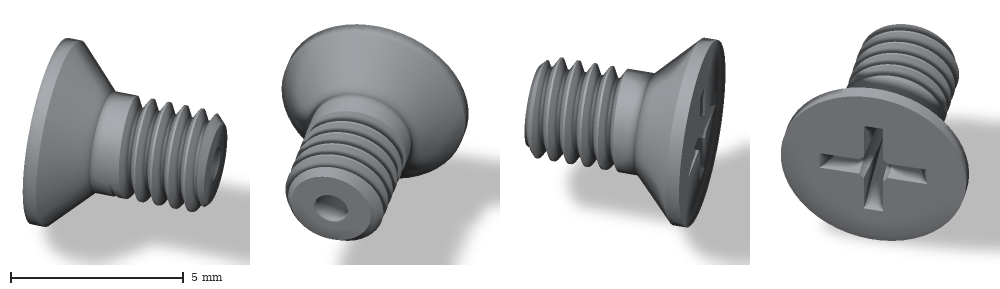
import cadquery as cq
import math

screw_length = 5.0
head_diameter = 5.5
head_rim_thickness = 0.4
shank_diameter = 3.0
bore_diameter = 1.0

thread_pitch = 0.5
thread_start_x = 2.25
flank_half_angle = math.radians(30)
profile_height = thread_pitch * math.sqrt(3) / 2
thread_depth = profile_height * 17 / 24
crest_width = thread_pitch / 8
lead_in_start = math.radians(7)
lead_in_end = math.radians(146)
groove_entry_angle = math.radians(5)
groove_overcut = 0.02
points_per_turn = 24

slot_length = 3.2
slot_width = 0.56
slot_end_angle = math.radians(60)
slot_bottom_length = 0.9
slot_side_draft = math.radians(4)

head_radius = head_diameter / 2
shank_radius = shank_diameter / 2
root_radius = shank_radius - thread_depth
head_height = head_rim_thickness + head_radius - shank_radius
tip_chamfer = thread_depth


def make_blank():
    """Head, countersink, plain shank and chamfered tip as one turned body."""
    return (
        cq.Workplane("XY")
        .moveTo(0, 0)
        .lineTo(0, -head_radius)
        .lineTo(head_rim_thickness, -head_radius)
        .lineTo(head_height, -shank_radius)
        .lineTo(screw_length - tip_chamfer, -shank_radius)
        .lineTo(screw_length, -shank_radius + tip_chamfer)
        .lineTo(screw_length, 0)
        .close()
        .revolve(360, (0, 0, 0), (1, 0, 0))
    )


def groove_corners():
    """(axial offset, radius) of the full-depth groove section, widened past the crest."""
    outer_radius = shank_radius + groove_overcut
    outer_half = (thread_pitch - crest_width) / 2 + groove_overcut * math.tan(flank_half_angle)
    root_half = outer_half - (outer_radius - root_radius) * math.tan(flank_half_angle)
    return [
        (-outer_half, outer_radius),
        (-root_half, root_radius),
        (root_half, root_radius),
        (outer_half, outer_radius),
    ]


def groove_point(corner, angle):
    """Position of a groove corner after turning by angle from the -Y side."""
    axial_offset, full_radius = corner
    lift = thread_depth * max(0, (lead_in_end - angle) / (lead_in_end - lead_in_start))
    radius = full_radius + lift
    x = thread_start_x + thread_pitch * angle / math.tau + axial_offset
    return cq.Vector(x, -radius * math.cos(angle), -radius * math.sin(angle))


def groove_segment(start_angle, end_angle):
    """Solid swept by the groove section between two turning angles."""
    corners = groove_corners()
    steps = math.ceil((end_angle - start_angle) / math.tau * points_per_turn)
    angles = [start_angle + (end_angle - start_angle) * i / steps for i in range(steps + 1)]
    paths = [cq.Edge.makeSpline([groove_point(corner, a) for a in angles]) for corner in corners]
    faces = [
        cq.Face.makeRuledSurface(path, following)
        for path, following in zip(paths, paths[1:] + paths[:1])
    ]
    for angle in (start_angle, end_angle):
        section = cq.Wire.makePolygon([groove_point(corner, angle) for corner in corners], close=True)
        faces.append(cq.Face.makeFromWires(section))
    return cq.Solid.makeSolid(cq.Shell.makeShell(faces))


def cut_thread(body):
    """Cut the rising lead-in, then the full-depth groove turn by turn past the tip."""
    turns = math.ceil((screw_length - thread_start_x) / thread_pitch)
    body = body.cut(cq.Workplane(groove_segment(lead_in_start - groove_entry_angle, lead_in_end)))
    for turn in range(turns):
        start_angle = lead_in_end + turn * math.tau
        body = body.cut(cq.Workplane(groove_segment(start_angle, start_angle + math.tau)))
    return body


def make_slot():
    """One tapered slot, long in Y, sunk from the head face."""
    depth = (slot_length - slot_bottom_length) / 2 * math.tan(slot_end_angle)
    bottom_width = slot_width - 2 * depth * math.tan(slot_side_draft)
    return (
        cq.Workplane("YZ")
        .rect(slot_length, slot_width)
        .workplane(offset=depth)
        .rect(slot_bottom_length, bottom_width)
        .loft(ruled=True)
    )


def cut_drive(body):
    """Cut the through bore and the two crossed slots."""
    bore = cq.Workplane("YZ").circle(bore_diameter / 2).extrude(screw_length)
    slot = make_slot()
    crossed_slot = slot.rotate((0, 0, 0), (1, 0, 0), 90)
    return body.cut(bore).cut(slot).cut(crossed_slot)


result = cut_thread(cut_drive(make_blank()))